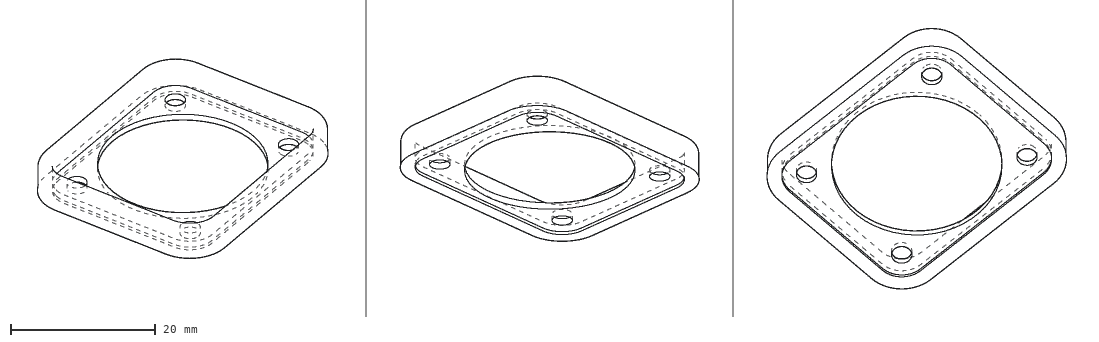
import cadquery as cq

LENGTH_X = 30.12
LENGTH_Y = 35.15
HEIGHT = 5.0

FLARE = 0.07
FLARE_HEIGHT = 0.5

WALL = 2.0
CORNER_RADIUS = 5.73
RIM_RADIUS = WALL / 2

FLOOR = 1.0
RECESS_DEPTH = 0.45

BORE_DIAMETER = 23.55
HOLE_DIAMETER = 2.8
HOLE_SPACING_X = 18.98
HOLE_SPACING_Y = 24.0

BODY_X = LENGTH_X - 2 * FLARE
BODY_Y = LENGTH_Y - 2 * FLARE


def rounded_plate(inset, bottom, thickness):
    """Plate with rounded corners, inset from the outside of the wall."""
    return (
        cq.Workplane("XY", origin=(0, 0, bottom))
        .rect(BODY_X - 2 * inset, BODY_Y - 2 * inset)
        .extrude(thickness)
        .edges("|Z")
        .fillet(CORNER_RADIUS - inset)
    )


def wall():
    """Flared, round-topped wall section swept around the inner outline."""
    path = rounded_plate(WALL, 0, FLOOR).faces("<Z").wires().val()
    inner = -BODY_Y / 2 + WALL
    outer = -BODY_Y / 2
    shoulder = HEIGHT - RIM_RADIUS
    section = (
        cq.Workplane("YZ")
        .moveTo(inner, 0)
        .lineTo(outer - FLARE, 0)
        .lineTo(outer, FLARE_HEIGHT)
        .lineTo(outer, shoulder)
        .threePointArc((outer + RIM_RADIUS, HEIGHT), (inner, shoulder))
        .close()
    )
    return section.sweep(cq.Workplane(path), transition="right")


def floor():
    """Floor plate with the central bore and the four screw holes."""
    plate = rounded_plate(WALL / 2, RECESS_DEPTH, FLOOR)
    return (
        plate.faces(">Z")
        .workplane(origin=(0, 0, 0))
        .hole(BORE_DIAMETER)
        .faces(">Z")
        .workplane(origin=(0, 0, 0))
        .rect(HOLE_SPACING_X, HOLE_SPACING_Y, forConstruction=True)
        .vertices()
        .hole(HOLE_DIAMETER)
    )


result = wall().union(floor())